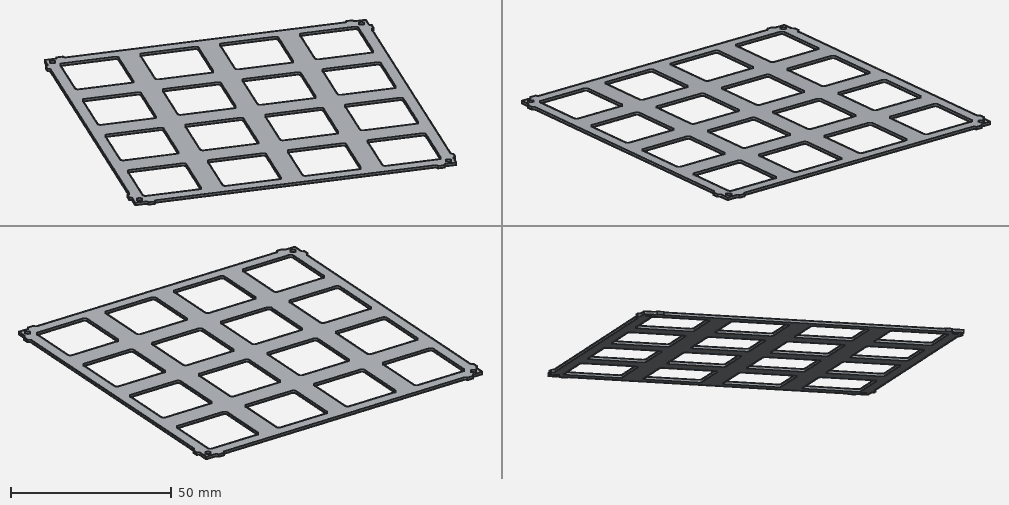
import cadquery as cq
import math

overall_size = 105.6
plate_size = 104.0
thickness = 0.91

windows_per_side = 4
window_pitch = 25.9
window_size = 18.9
window_corner_radius = 1.0

hole_diameter = 1.8
hole_edge_distance = 2.0

tab_height = (overall_size - plate_size) / 2
tab_tip_length = 2.1
tab_center_offset = 46.9
tab_flare_radius = tab_height


def make_plate():
    return cq.Workplane("XY").box(plate_size, plate_size, thickness, centered=(True, True, False))


def make_tab(center_x):
    """One tab on the +Y side: a flat tip whose ends curve outward to meet the plate side."""
    side = plate_size / 2
    tip = overall_size / 2
    root_depth = side - tab_height
    half_tip = tab_tip_length / 2
    half_root = half_tip + tab_flare_radius
    arc_offset = tab_flare_radius * (1 - math.sqrt(0.5))
    half_middle = half_tip + arc_offset
    arc_middle_y = side + arc_offset
    return (
        cq.Workplane("XY")
        .moveTo(center_x - half_root, side)
        .threePointArc((center_x - half_middle, arc_middle_y), (center_x - half_tip, tip))
        .lineTo(center_x + half_tip, tip)
        .threePointArc((center_x + half_middle, arc_middle_y), (center_x + half_root, side))
        .lineTo(center_x + half_root, root_depth)
        .lineTo(center_x - half_root, root_depth)
        .close()
        .extrude(thickness)
    )


def make_windows():
    return (
        cq.Workplane("XY")
        .rarray(window_pitch, window_pitch, windows_per_side, windows_per_side)
        .rect(window_size, window_size)
        .extrude(thickness)
        .edges("|Z")
        .fillet(window_corner_radius)
    )


def make_corner_holes():
    hole_spacing = plate_size - 2 * hole_edge_distance
    return (
        cq.Workplane("XY")
        .rect(hole_spacing, hole_spacing, forConstruction=True)
        .vertices()
        .circle(hole_diameter / 2)
        .extrude(thickness)
    )


result = make_plate()
for side_angle in (0, 90, 180, 270):
    for center_x in (-tab_center_offset, tab_center_offset):
        tab = make_tab(center_x).rotate((0, 0, 0), (0, 0, 1), side_angle)
        result = result.union(tab)
result = result.cut(make_windows()).cut(make_corner_holes())